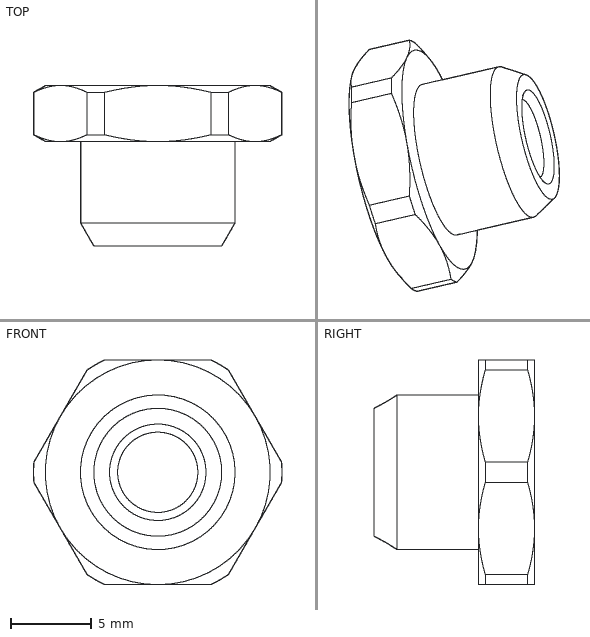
import cadquery as cq
import math

across_flats = 14.0
corner_diameter = 15.48
head_thickness = 3.5
bevel_angle = math.radians(30)

total_length = 10.0
shank_diameter = 9.63
tip_length = 1.44
tip_angle = math.radians(30)

hole_diameter = 5.0
mouth_diameter = 6.0
hole_depth = 7.0
drill_point_angle = math.radians(150)

head_start = total_length - head_thickness


def revolve_about_y(profile_points):
    """Turn a closed (radius, y) profile about the Y axis."""
    profile = cq.Workplane("XY").polyline(profile_points).close()
    return profile.revolve(360, (0, 0, 0), (0, 1, 0))


def make_head():
    """Hexagon with flats facing +Z and -Z, its corners turned and bevelled."""
    corner_radius = corner_diameter / 2
    face_radius = across_flats / 2
    bevel_depth = (corner_radius - face_radius) * math.tan(bevel_angle)
    turned_blank = revolve_about_y([
        (0, head_start),
        (face_radius, head_start),
        (corner_radius, head_start + bevel_depth),
        (corner_radius, total_length - bevel_depth),
        (face_radius, total_length),
        (0, total_length),
    ])
    hexagon_corner_diameter = across_flats / math.cos(math.radians(30))
    hexagon = (
        cq.Workplane("XZ", origin=(0, total_length, 0))
        .polygon(6, hexagon_corner_diameter)
        .extrude(head_thickness)
    )
    return hexagon.intersect(turned_blank)


def make_shank():
    """Cylinder running into the head, tapered at the free end."""
    shank_radius = shank_diameter / 2
    tip_radius = shank_radius - tip_length * math.tan(tip_angle)
    shank_end = head_start + head_thickness / 2
    return revolve_about_y([
        (0, 0),
        (tip_radius, 0),
        (shank_radius, tip_length),
        (shank_radius, shank_end),
        (0, shank_end),
    ])


def make_hole():
    """Drilled hole with a conical bottom and a 45 degree countersink."""
    hole_radius = hole_diameter / 2
    mouth_radius = mouth_diameter / 2
    countersink_depth = mouth_radius - hole_radius
    point_depth = hole_radius / math.tan(drill_point_angle / 2)
    return revolve_about_y([
        (0, 0),
        (mouth_radius, 0),
        (hole_radius, countersink_depth),
        (hole_radius, hole_depth),
        (0, hole_depth + point_depth),
    ])


result = make_head().union(make_shank()).cut(make_hole())